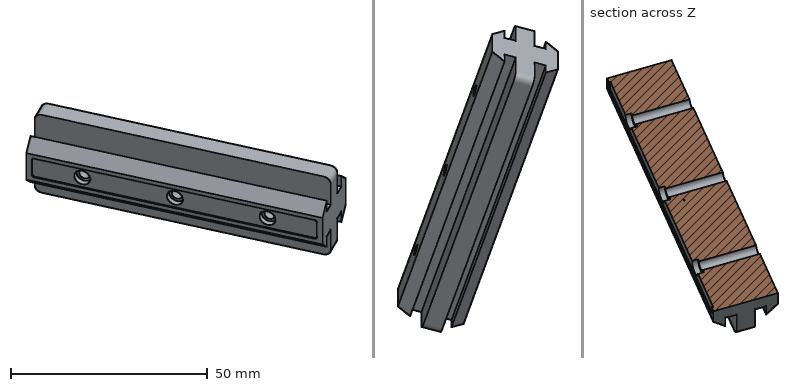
import cadquery as cq

length = 80.0
width = 17.5
height = 25.0

web_thickness = 5.0
core_height = 8.0
flange_inner_offset = 5.5
flange_tip_height = 14.8
face_height = 8.5
web_corner_radius = 2.0

recess_margin = 1.5
recess_height = 6.0
recess_depth = 0.4
recess_corner_radius = 0.75

hole_count = 3
hole_pitch = 25.0
hole_diameter = 2.8
counterbore_diameter = 4.3
counterbore_depth = 1.6

front_face_y = -width / 2


def make_web():
    """Upright plate with rounded corners."""
    plate = cq.Workplane("XY").box(length, web_thickness, height)
    return plate.edges("|Y").fillet(web_corner_radius)


def make_core():
    """Bar joining the web to the flanges on both sides."""
    return cq.Workplane("XY").box(length, 2 * flange_inner_offset, core_height)


def make_flange():
    """Bevelled flange on the +Y side, extruded along the full length."""
    outline = [
        (flange_inner_offset, -flange_tip_height / 2),
        (width / 2, -face_height / 2),
        (width / 2, face_height / 2),
        (flange_inner_offset, flange_tip_height / 2),
    ]
    profile = cq.Workplane("YZ").polyline(outline).close()
    return profile.extrude(length / 2, both=True)


def make_recess():
    """Cutter for the rounded rectangular recess in the front face."""
    recess_length = length - 2 * recess_margin
    block = cq.Workplane("XY").box(recess_length, 2 * recess_depth, recess_height)
    return block.edges("|Y").fillet(recess_corner_radius).translate((0, front_face_y, 0))


def make_screw_hole(x):
    """Cutter for one through hole with its counterbore under the recess floor."""
    front = cq.Workplane("XZ", origin=(x, front_face_y, 0))
    through = front.circle(hole_diameter / 2).extrude(-width)
    counterbore = front.circle(counterbore_diameter / 2).extrude(-(recess_depth + counterbore_depth))
    return through.union(counterbore)


flange = make_flange()
result = make_web().union(make_core()).union(flange).union(flange.mirror("XZ"))
result = result.cut(make_recess())
for index in range(hole_count):
    hole_x = (index - (hole_count - 1) / 2) * hole_pitch
    result = result.cut(make_screw_hole(hole_x))